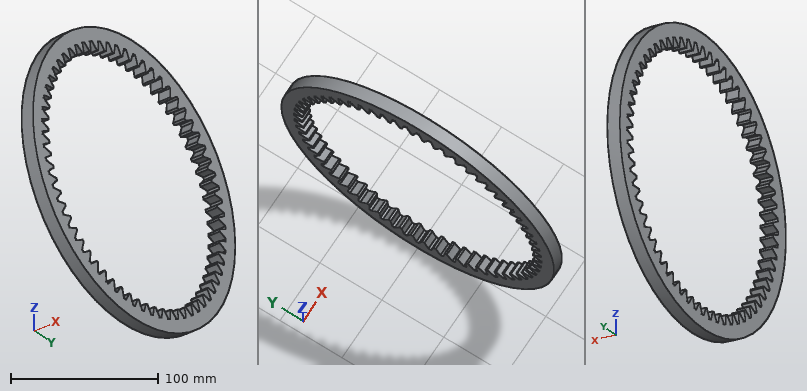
import cadquery as cq
import math

MODULE = 3.0
TOOTH_COUNT = 64
RIM_DIAMETER = 220.0
THICKNESS = 10.0
ADDENDUM = 1.0 * MODULE
DEDENDUM = 1.25 * MODULE

TIP_SPACE_WIDTH = 7.284
PITCH_SPACE_WIDTH = 5.242
ROOT_SPACE_WIDTH = 2.055

PITCH_RADIUS = MODULE * TOOTH_COUNT / 2
TIP_RADIUS = PITCH_RADIUS - ADDENDUM
ROOT_RADIUS = PITCH_RADIUS + DEDENDUM
PITCH_ANGLE = 2 * math.pi / TOOTH_COUNT


def polar(radius, angle):
    """Point in the YZ plane, with the angle measured from +Y towards +Z."""
    return (radius * math.cos(angle), radius * math.sin(angle))


def flank_points(space_angle, side):
    """Tip, pitch and root points of a flank; side is -1 or +1 about the centre of the space."""
    stations = (
        (TIP_RADIUS, TIP_SPACE_WIDTH),
        (PITCH_RADIUS, PITCH_SPACE_WIDTH),
        (ROOT_RADIUS, ROOT_SPACE_WIDTH),
    )
    return [polar(radius, space_angle + side * width / 2 / radius) for radius, width in stations]


def make_toothed_bore():
    """Solid that fills the bore and every tooth space."""
    profile = cq.Workplane("YZ").moveTo(*flank_points(0, -1)[0])
    for i in range(TOOTH_COUNT):
        space_angle = i * PITCH_ANGLE
        next_space_angle = space_angle + PITCH_ANGLE
        tooth_angle = space_angle + PITCH_ANGLE / 2
        _, first_pitch, first_root = flank_points(space_angle, -1)
        second_tip, second_pitch, second_root = flank_points(space_angle, 1)
        next_tip = flank_points(next_space_angle, -1)[0]
        profile = (
            profile.threePointArc(first_pitch, first_root)
            .threePointArc(polar(ROOT_RADIUS, space_angle), second_root)
            .threePointArc(second_pitch, second_tip)
            .threePointArc(polar(TIP_RADIUS, tooth_angle), next_tip)
        )
    return profile.close().extrude(THICKNESS)


def make_rim():
    """Plain disc that the toothed bore is cut from."""
    return cq.Workplane("YZ").circle(RIM_DIAMETER / 2).extrude(THICKNESS)


result = make_rim().cut(make_toothed_bore())